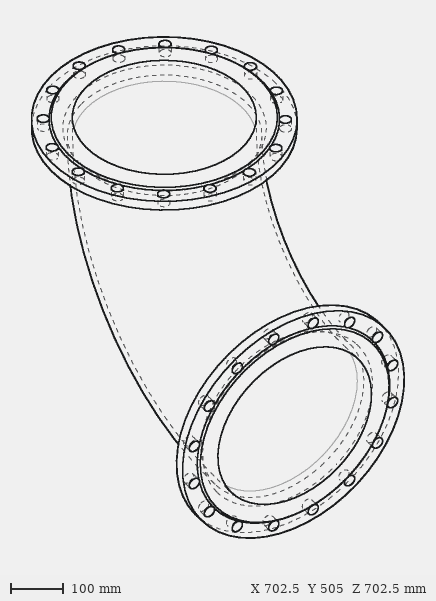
import cadquery as cq

outer_length = 702.5
flange_diameter = 505.0
bore_diameter = 350.0
pipe_diameter = 370.0

raised_face_diameter = 430.0
raised_face_height = 4.0
raised_face_taper = 4.0
flange_back_depth = 25.0
bolt_circle_diameter = 460.0
bolt_hole_diameter = 23.0
bolt_hole_count = 16

neck_end_depth = 43.0
neck_flare = 8.5
straight_depth = 50.0

port_offset = outer_length - flange_diameter / 2
bend_radius = port_offset - straight_depth


def flanged_end():
    """Solid flange, conical neck and straight stub, with the sealing face at Z = 0 facing up."""
    flange_radius = flange_diameter / 2
    raised_radius = raised_face_diameter / 2
    pipe_radius = pipe_diameter / 2
    profile = (
        cq.Workplane("XZ")
        .moveTo(0, 0)
        .lineTo(raised_radius, 0)
        .lineTo(raised_radius + raised_face_taper, -raised_face_height)
        .lineTo(flange_radius, -raised_face_height)
        .lineTo(flange_radius, -flange_back_depth)
        .lineTo(pipe_radius + neck_flare, -flange_back_depth)
        .lineTo(pipe_radius, -neck_end_depth)
        .lineTo(pipe_radius, -straight_depth)
        .lineTo(0, -straight_depth)
        .close()
    )
    body = profile.revolve(360, (0, 0, 0), (0, 1, 0))
    holes = (
        cq.Workplane("XY")
        .polarArray(bolt_circle_diameter / 2, 180 / bolt_hole_count, 360, bolt_hole_count)
        .circle(bolt_hole_diameter / 2)
        .extrude(-flange_back_depth)
    )
    return body.cut(holes)


def bend(diameter):
    """Quarter torus joining the lower end of the top stub to the inner end of the side stub."""
    return (
        cq.Workplane("XY", origin=(0, 0, bend_radius))
        .circle(diameter / 2)
        .revolve(90, (bend_radius, 0, 0), (bend_radius, -1, 0))
    )


def straight_bore():
    """Straight part of the passage, below a sealing face at Z = 0."""
    return cq.Workplane("XY").circle(bore_diameter / 2).extrude(-straight_depth)


def at_both_ports(end_shape):
    """Place a copy of an end shape at the top port and another at the side port."""
    top = end_shape.translate((0, 0, port_offset))
    side = end_shape.rotate((0, 0, 0), (0, 1, 0), 90).translate((port_offset, 0, 0))
    return top, side


top_end, side_end = at_both_ports(flanged_end())
top_bore, side_bore = at_both_ports(straight_bore())

result = (
    bend(pipe_diameter)
    .union(top_end)
    .union(side_end)
    .cut(bend(bore_diameter))
    .cut(top_bore)
    .cut(side_bore)
)